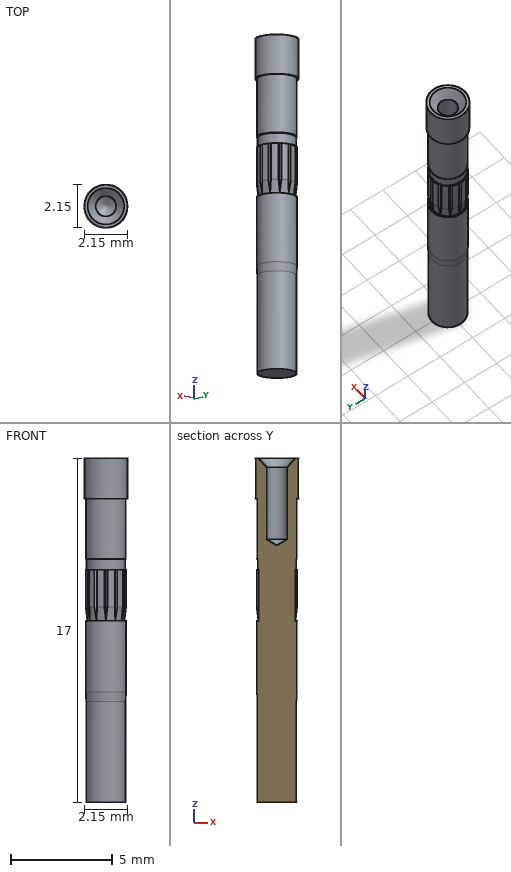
import cadquery as cq
import math

total_height = 17.0
head_bottom = 15.0
neck_top = 12.0
splines_top = 11.5
spline_taper_top = 9.65
splines_bottom = 8.96
body_taper_top = 5.45
body_taper_bottom = 5.0

head_diameter = 2.15
upper_diameter = 1.97
neck_diameter = 1.92
body_diameter = 2.0
spline_root_diameter = 1.84
tail_diameter = 1.95
neck_chamfer = 0.03

countersink_diameter = 1.8
bore_diameter = 1.0
countersink_depth = 0.45
bore_depth = 4.0
drill_point_angle = 118.0

groove_count = 12
groove_width = 0.17
groove_overshoot = 0.05


def turned_body():
    """Revolve the stepped outside of the pin."""
    upper_radius = upper_diameter / 2
    neck_radius = neck_diameter / 2
    body_radius = body_diameter / 2
    tail_radius = tail_diameter / 2
    profile = [
        (0, 0),
        (tail_radius, 0),
        (tail_radius, body_taper_bottom),
        (body_radius, body_taper_top),
        (body_radius, splines_bottom),
        (spline_root_diameter / 2, splines_bottom),
        (body_radius, spline_taper_top),
        (body_radius, splines_top),
        (neck_radius, splines_top),
        (neck_radius, neck_top),
        (upper_radius, neck_top + neck_chamfer),
        (upper_radius, head_bottom),
        (head_diameter / 2, head_bottom),
        (head_diameter / 2, total_height),
        (0, total_height),
    ]
    return cq.Workplane("XZ").polyline(profile).close().revolve(360, (0, 0), (0, 1))


def bore():
    """Countersunk blind hole with a conical drill point."""
    bore_radius = bore_diameter / 2
    bore_bottom = total_height - bore_depth
    point_height = bore_radius / math.tan(math.radians(drill_point_angle / 2))
    profile = [
        (0, bore_bottom - point_height),
        (bore_radius, bore_bottom),
        (bore_radius, total_height - countersink_depth),
        (countersink_diameter / 2, total_height),
        (0, total_height),
    ]
    return cq.Workplane("XZ").polyline(profile).close().revolve(360, (0, 0), (0, 1))


def spline_groove(angle):
    """V-groove whose apex follows the small end of the spline taper."""
    root_radius = spline_root_diameter / 2
    groove_depth = body_diameter / 2 - root_radius
    mouth_radius = body_diameter / 2 + groove_overshoot
    half_mouth = groove_width / 2 * (groove_depth + groove_overshoot) / groove_depth
    section = [(root_radius, 0), (mouth_radius, half_mouth), (mouth_radius, -half_mouth)]
    return (
        cq.Workplane("XY", origin=(0, 0, splines_bottom))
        .polyline(section)
        .close()
        .extrude(splines_top - splines_bottom)
        .rotate((0, 0, 0), (0, 0, 1), angle)
    )


result = turned_body().cut(bore())
for index in range(groove_count):
    result = result.cut(spline_groove(index * 360 / groove_count))